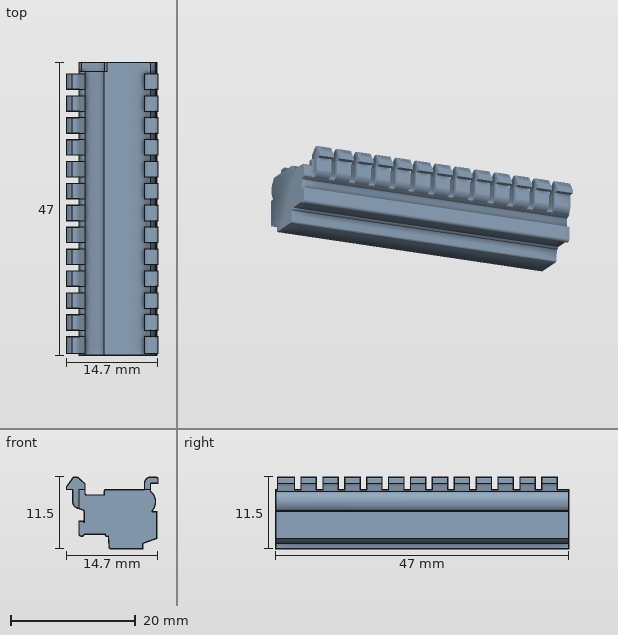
import cadquery as cq

LENGTH = 47.0
HEIGHT = 11.5
WIDTH = 14.7
DECK_Z = 9.5

LEDGE_X = 2.0
WAIST_X = 2.85
LEDGE_INNER_X = 3.0
LEDGE_BOTTOM_Z = 6.45
WAIST_TOP_Z = 6.1

CHANNEL_Z = 8.65
CHANNEL_END_X = 6.05
CHANNEL_FLOOR_RADIUS = 0.25
CHANNEL_EDGE_RADIUS = 0.3

RIB_TOP_Z = 4.45
RIB_TOP_STEP = 0.2
RIB_TOP_FLAT_END_X = 2.65
RIB_BOTTOM_Z = 2.0
RIB_RADIUS = 0.4
RIB_INNER_CHAMFER = 0.2
UNDERSIDE_Z = 2.3
UNDERSIDE_END_X = 6.2
UNDERSIDE_RADIUS = UNDERSIDE_Z - RIB_BOTTOM_Z

FOOT_TOP_X = 6.7
FOOT_START_X = 6.85
FOOT_END_X = 12.25
FOOT_CHAMFER = 0.15
FOOT_SIDE_Z = 0.85

SIDE_X = 14.5
SIDE_SLOPE_Z = 1.65
SIDE_TOP_Z = 5.95
BULGE_X = 14.3
BULGE_MID_Z = 7.7
BULGE_BOTTOM = (13.8, 6.15)
DECK_END_X = 13.5
BULGE_TOP_Z = 9.2

END_STEP_LENGTH = 1.45
END_FLOOR_Z = 8.6
END_CHAMFER_RUN = 0.45
END_CHAMFER_DROP = 0.55
END_WALL_X = 6.12
END_WALL_CHAMFER = 0.4
END_BEVEL_TOP_Z = 6.7
END_BEVEL_BOTTOM = (2.1, 6.42)

HOOK_COUNT = 13
HOOK_PITCH = 3.51
HOOK_LENGTH = 2.5
END_HOOK_LENGTH = 2.75
HOOK_BACK_MARGIN = 1.85

ARM_X = 1.0
ARM_CURVE_Z = 7.4
ARM_CURVE_MID = (1.35, 6.77)
HEAD_NOSE_Z = 9.95
HEAD_CORNER = (0.92, 11.2)
HEAD_CORNER_MID = (1.03, 11.4)
HEAD_TOP_START_X = 1.25
HEAD_TOP_END_X = 1.6
HEAD_SHOULDER_MID = (1.79, 11.46)
HEAD_SHOULDER = (1.97, 11.35)
HEAD_BACK_Z = 10.4

LIP_START_X = 12.5
LIP_UNDER_Z = 10.5
LIP_OUTER_RADIUS = 1.0
LIP_TIP_RADIUS = 0.35


def extrude_along_y(section, y_start, y_length):
    """Extrude a section drawn in X and Z from y_start towards +Y."""
    return section.extrude(-y_length).translate((0, y_start, 0))


def quarter_arc(sketch, start, corner, end):
    """Continue to start, then round the given right-angled corner to end."""
    middle = tuple(
        c + ((s - c) + (e - c)) * (1 - 0.5 ** 0.5)
        for s, c, e in zip(start, corner, end)
    )
    return sketch.lineTo(*start).threePointArc(middle, end)


def make_body():
    s = cq.Workplane("XZ").moveTo(LEDGE_X, DECK_Z).lineTo(LEDGE_INNER_X, DECK_Z)
    s = quarter_arc(
        s,
        (LEDGE_INNER_X, CHANNEL_Z + CHANNEL_FLOOR_RADIUS),
        (LEDGE_INNER_X, CHANNEL_Z),
        (LEDGE_INNER_X + CHANNEL_FLOOR_RADIUS, CHANNEL_Z),
    )
    s = s.lineTo(CHANNEL_END_X, CHANNEL_Z)
    s = quarter_arc(
        s,
        (CHANNEL_END_X, DECK_Z - CHANNEL_EDGE_RADIUS),
        (CHANNEL_END_X, DECK_Z),
        (CHANNEL_END_X + CHANNEL_EDGE_RADIUS, DECK_Z),
    )
    s = s.lineTo(DECK_END_X, DECK_Z).lineTo(DECK_END_X, BULGE_TOP_Z)
    s = s.threePointArc((BULGE_X, BULGE_MID_Z), BULGE_BOTTOM)
    s = s.lineTo(BULGE_BOTTOM[0], SIDE_TOP_Z).lineTo(SIDE_X, SIDE_TOP_Z)
    s = s.lineTo(SIDE_X, SIDE_SLOPE_Z).lineTo(FOOT_END_X, FOOT_SIDE_Z)
    s = s.lineTo(FOOT_END_X, 0).lineTo(FOOT_START_X + FOOT_CHAMFER, 0)
    s = s.lineTo(FOOT_START_X, FOOT_CHAMFER).lineTo(FOOT_TOP_X, RIB_BOTTOM_Z)
    s = quarter_arc(
        s,
        (UNDERSIDE_END_X + UNDERSIDE_RADIUS, RIB_BOTTOM_Z),
        (UNDERSIDE_END_X, RIB_BOTTOM_Z),
        (UNDERSIDE_END_X, UNDERSIDE_Z),
    )
    s = s.lineTo(WAIST_X, UNDERSIDE_Z)
    s = s.lineTo(WAIST_X - RIB_INNER_CHAMFER, RIB_BOTTOM_Z)
    s = quarter_arc(
        s,
        (LEDGE_X + RIB_RADIUS, RIB_BOTTOM_Z),
        (LEDGE_X, RIB_BOTTOM_Z),
        (LEDGE_X, RIB_BOTTOM_Z + RIB_RADIUS),
    )
    s = s.lineTo(LEDGE_X, RIB_TOP_Z).lineTo(RIB_TOP_FLAT_END_X, RIB_TOP_Z)
    s = s.lineTo(WAIST_X, RIB_TOP_Z - RIB_TOP_STEP)
    s = s.lineTo(WAIST_X, WAIST_TOP_Z).lineTo(LEDGE_X, LEDGE_BOTTOM_Z)
    return extrude_along_y(s.close(), 0, LENGTH)


def make_end_step():
    """Material removed from the ledge and channel wall at the high-Y end."""
    s = cq.Workplane("XZ").polyline([
        (LEDGE_X, END_FLOOR_Z - END_CHAMFER_DROP),
        (LEDGE_X + END_CHAMFER_RUN, END_FLOOR_Z),
        (END_WALL_X, END_FLOOR_Z),
        (END_WALL_X, DECK_Z - END_WALL_CHAMFER),
        (END_WALL_X + END_WALL_CHAMFER, DECK_Z),
        (LEDGE_X, DECK_Z),
    ])
    return extrude_along_y(s.close(), LENGTH - END_STEP_LENGTH, END_STEP_LENGTH)


def make_end_bevel():
    """Material removed from the lower outer edge of the ledge at the high-Y end."""
    s = cq.Workplane("XZ").polyline([
        (LEDGE_X, END_BEVEL_TOP_Z),
        END_BEVEL_BOTTOM,
        (LEDGE_X, LEDGE_BOTTOM_Z),
    ])
    return extrude_along_y(s.close(), LENGTH - END_STEP_LENGTH, END_STEP_LENGTH)


def make_latch_hook(y_start, y_length):
    """Curved arm rising from the ledge, topped by a barbed head."""
    s = cq.Workplane("XZ").moveTo(LEDGE_X, LEDGE_BOTTOM_Z)
    s = s.threePointArc(ARM_CURVE_MID, (ARM_X, ARM_CURVE_Z))
    s = s.lineTo(ARM_X, DECK_Z).lineTo(0, DECK_Z).lineTo(0, HEAD_NOSE_Z)
    s = s.lineTo(*HEAD_CORNER).threePointArc(HEAD_CORNER_MID, (HEAD_TOP_START_X, HEIGHT))
    s = s.lineTo(HEAD_TOP_END_X, HEIGHT).threePointArc(HEAD_SHOULDER_MID, HEAD_SHOULDER)
    s = s.lineTo(LEDGE_INNER_X, HEAD_BACK_Z).lineTo(LEDGE_INNER_X, DECK_Z).lineTo(LEDGE_X, DECK_Z)
    return extrude_along_y(s.close(), y_start, y_length)


def make_lip_hook(y_start, y_length):
    """Upright post on the deck, bent outwards over the far side."""
    s = cq.Workplane("XZ").moveTo(DECK_END_X, DECK_Z).lineTo(LIP_START_X, DECK_Z)
    s = quarter_arc(
        s,
        (LIP_START_X, HEIGHT - LIP_OUTER_RADIUS),
        (LIP_START_X, HEIGHT),
        (LIP_START_X + LIP_OUTER_RADIUS, HEIGHT),
    )
    s = quarter_arc(
        s,
        (WIDTH - LIP_TIP_RADIUS, HEIGHT),
        (WIDTH, HEIGHT),
        (WIDTH, HEIGHT - LIP_TIP_RADIUS),
    )
    s = s.lineTo(WIDTH, LIP_UNDER_Z).lineTo(DECK_END_X, LIP_UNDER_Z)
    return extrude_along_y(s.close(), y_start, y_length)


result = make_body().cut(make_end_step()).cut(make_end_bevel())
for index in range(HOOK_COUNT):
    is_last = index == HOOK_COUNT - 1
    hook_length = END_HOOK_LENGTH if is_last else HOOK_LENGTH
    hook_start = LENGTH - HOOK_BACK_MARGIN - index * HOOK_PITCH - hook_length
    result = result.union(make_latch_hook(hook_start, hook_length))
    result = result.union(make_lip_hook(hook_start, hook_length))